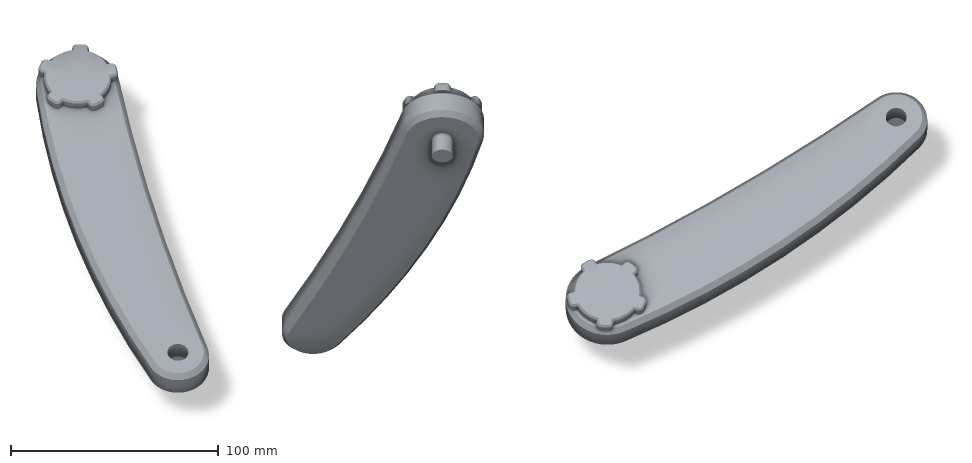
import cadquery as cq
import math

pivot_spacing = 170.0
knob_end_radius = 20.0
hole_end_radius = 15.0
concave_edge_radius = 1049.5
convex_edge_radius = 453.0
arm_thickness = 15.0
arm_chamfer = 2.5

pin_diameter = 10.0
pin_length = 10.0
hole_depth = pin_length

knob_height = 5.0
knob_body_radius = 16.2
lobe_count = 5
lobe_width = 8.0
lobe_tip_distance = 19.5
lobe_corner_radius = 2.5
first_lobe_angle = 15.0
knob_chamfer_height = 1.0
knob_chamfer_inset = 0.8


def edge_arc_centre(knob_end_distance, hole_end_distance):
    """Point at the given distances from both pivots, on the +Y side."""
    x = (knob_end_distance**2 - hole_end_distance**2 + pivot_spacing**2) / (2 * pivot_spacing)
    y = math.sqrt(knob_end_distance**2 - x**2)
    return x, y


def point_from(start, target, distance):
    """Point at a signed distance from start along the direction to target."""
    dx = target[0] - start[0]
    dy = target[1] - start[1]
    length = math.hypot(dx, dy)
    return start[0] + distance * dx / length, start[1] + distance * dy / length


def make_arm():
    knob_pivot = (0, 0)
    hole_pivot = (pivot_spacing, 0)

    concave_centre = edge_arc_centre(
        concave_edge_radius + knob_end_radius, concave_edge_radius + hole_end_radius
    )
    concave_start = point_from(knob_pivot, concave_centre, knob_end_radius)
    concave_end = point_from(hole_pivot, concave_centre, hole_end_radius)
    concave_middle = (concave_centre[0], concave_centre[1] - concave_edge_radius)

    convex_centre = edge_arc_centre(
        convex_edge_radius - knob_end_radius, convex_edge_radius - hole_end_radius
    )
    convex_start = point_from(hole_pivot, convex_centre, -hole_end_radius)
    convex_end = point_from(knob_pivot, convex_centre, -knob_end_radius)
    convex_middle = (convex_centre[0], convex_centre[1] - convex_edge_radius)

    return (
        cq.Workplane("XY")
        .moveTo(*concave_start)
        .threePointArc(concave_middle, concave_end)
        .threePointArc((pivot_spacing + hole_end_radius, 0), convex_start)
        .threePointArc(convex_middle, convex_end)
        .threePointArc((-knob_end_radius, 0), concave_start)
        .close()
        .extrude(arm_thickness)
        .faces("<Z or >Z")
        .chamfer(arm_chamfer)
    )


def make_knob_layer(height, taper=0):
    """Five-lobed disc, optionally with sides that lean inwards by taper degrees."""
    body = cq.Workplane("XY").circle(knob_body_radius).extrude(height, taper=taper)
    lobe_outline = (
        cq.Sketch()
        .rect(2 * lobe_tip_distance, lobe_width)
        .vertices()
        .fillet(lobe_corner_radius)
    )
    outer_side = cq.Workplane("XY").box(
        lobe_tip_distance, 2 * lobe_width, height, centered=(False, True, False)
    )
    lobe = cq.Workplane("XY").placeSketch(lobe_outline).extrude(height, taper=taper).intersect(outer_side)
    for index in range(lobe_count):
        angle = first_lobe_angle + index * 360 / lobe_count
        body = body.union(lobe.rotate((0, 0, 0), (0, 0, 1), angle))
    return body


def make_knob():
    straight_height = knob_height - knob_chamfer_height
    chamfer_angle = math.degrees(math.atan2(knob_chamfer_inset, knob_chamfer_height))
    straight = make_knob_layer(straight_height)
    chamfered = make_knob_layer(knob_chamfer_height, chamfer_angle)
    knob = straight.union(chamfered.translate((0, 0, straight_height)))
    return knob.translate((0, 0, arm_thickness))


def make_pin():
    return cq.Workplane("XY").circle(pin_diameter / 2).extrude(-pin_length)


def make_hole():
    return (
        cq.Workplane("XY", origin=(pivot_spacing, 0, arm_thickness))
        .circle(pin_diameter / 2)
        .extrude(-hole_depth)
    )


result = make_arm().cut(make_hole()).union(make_knob()).union(make_pin())